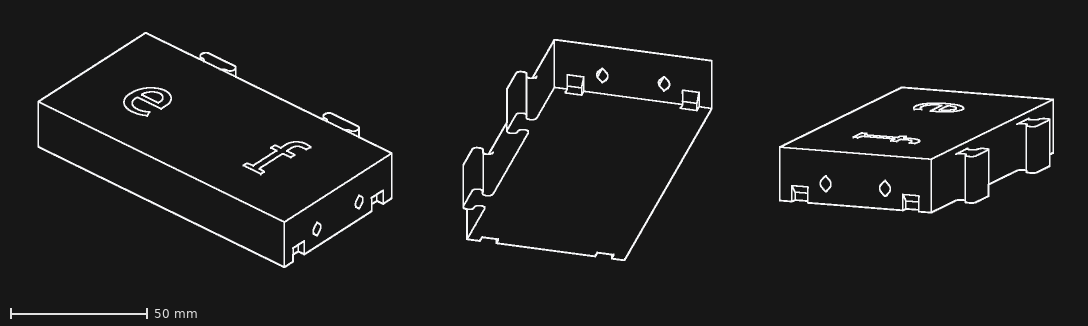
import cadquery as cq
import math

block_length = 120.0
block_width = block_length / 2
block_height = 20.0

field_centers = (-block_length / 4, block_length / 4)

tab_reach = 8.0
tab_height = 17.4
tab_head_half = 7.9
tab_neck_half = tab_head_half / 2
tab_neck_length = tab_reach / 2
tab_head_round = 1.7
tab_neck_hollow = 1.9

bore_diameter = 4.2
bore_offset = 11.8
bore_height = 7.7

slot_width = 6.2
slot_height = 6.0
slot_depth = slot_height / 2
slot_offset = 22.0

letter_depth = 1.2

e_bar_bottom = -3.8
e_bar_top = -1.5
e_right = 7.1
e_inner_left = -4.4
e_inner_right = 3.6
e_shoulder = (5.3, 3.8)
e_crown = (-0.2, 6.1)
e_upper_left = (-6.1, 2.6)
e_far_left = (-7.9, -3.1)
e_lower_left = (-5.9, -9.7)
e_base = (0.2, -12.2)
e_tail_curve = (3.6, -11.8)
e_tail_outer = (6.2, -10.5)
e_tail_inner = (5.2, -8.0)
e_tail_inner_curve = (3.4, -9.2)
e_bowl_floor = (0.7, -9.7)
e_bowl_left = (-3.1, -8.3)
e_eye_right = (2.8, 2.2)
e_eye_crown = (-0.2, 3.5)
e_eye_left = (-3.2, 1.8)

f_stem_left = -3.0
f_stem_right = 0.0
f_left = -5.8
f_bar_right = 3.8
f_bar_bottom = 3.5
f_bar_top = 5.8
f_foot_right = 2.8
f_foot_bottom = -11.9
f_foot_edge = -10.0
f_foot_top = -9.6
f_hook_inner_start = (f_stem_right, 8.2)
f_hook_inner_curve = (0.6, 10.2)
f_hook_inner_end = (2.2, 11.2)
f_hook_tip_lower = (4.7, 11.2)
f_hook_tip_upper = (4.9, 13.4)
f_hook_crown = (2.4, 13.8)
f_hook_outer_curve = (-1.7, 12.1)
f_hook_outer_start = (f_stem_left, 8.4)


def make_tab(center_x):
    """T-shaped tab with a rounded head and a hollowed neck, rooted on the +Y face."""
    head_length = tab_reach - tab_neck_length
    head = (
        cq.Workplane("XY")
        .center(center_x, block_width / 2 + tab_neck_length + head_length / 2)
        .rect(2 * tab_head_half, head_length)
        .extrude(tab_height)
        .edges("|Z")
        .fillet(tab_head_round)
    )
    return head.union(make_tab_neck(center_x))


def make_tab_neck(center_x):
    """Neck of a tab: its sides curve outward into the block and into the head."""
    flare = tab_neck_half + tab_neck_hollow
    hollow_end = tab_neck_length - tab_neck_hollow
    arc_gap = tab_neck_hollow * (1 - math.sqrt(0.5))
    bend = tab_neck_half + arc_gap
    return (
        cq.Workplane("XY")
        .center(center_x, block_width / 2)
        .moveTo(-flare, 0)
        .threePointArc((-bend, arc_gap), (-tab_neck_half, tab_neck_hollow))
        .lineTo(-tab_neck_half, hollow_end)
        .threePointArc((-bend, tab_neck_length - arc_gap), (-flare, tab_neck_length))
        .lineTo(flare, tab_neck_length)
        .threePointArc((bend, tab_neck_length - arc_gap), (tab_neck_half, hollow_end))
        .lineTo(tab_neck_half, tab_neck_hollow)
        .threePointArc((bend, arc_gap), (flare, 0))
        .close()
        .extrude(tab_height)
    )


def make_rod_hole(center_y):
    """Pointed bore through the full length; the point's sides are tangent to the round."""
    radius = bore_diameter / 2
    tip = radius * math.sqrt(2)
    tangent = radius / math.sqrt(2)
    return (
        cq.Workplane("YZ", origin=(-block_length / 2, center_y, bore_height))
        .moveTo(0, tip)
        .lineTo(tangent, tangent)
        .threePointArc((radius, 0), (tangent, -tangent))
        .lineTo(0, -tip)
        .lineTo(-tangent, -tangent)
        .threePointArc((-radius, 0), (-tangent, tangent))
        .close()
        .extrude(block_length)
    )


def make_slot_pair(center_y):
    """Clip slots at the -X and +X ends; each ceiling drops inward by the slot depth."""
    end_slot = (
        cq.Workplane("XZ", origin=(-block_length / 2, center_y, 0))
        .lineTo(0, slot_height)
        .lineTo(slot_depth, slot_height - slot_depth)
        .lineTo(slot_depth, 0)
        .close()
        .extrude(slot_width / 2, both=True)
    )
    return end_slot.union(end_slot.mirror("YZ"))


def letter_plane(center_x):
    """Plane of the letter floor, at the middle of a field."""
    return cq.Workplane("XY", origin=(center_x, 0, block_height - letter_depth))


def make_letter_e(center_x):
    """Flush "e" inlay with an open eye above its bar."""
    outline = (
        letter_plane(center_x)
        .moveTo(e_inner_left, e_bar_bottom)
        .lineTo(e_right, e_bar_bottom)
        .lineTo(e_right, e_bar_top)
        .threePointArc(e_shoulder, e_crown)
        .threePointArc(e_upper_left, e_far_left)
        .threePointArc(e_lower_left, e_base)
        .threePointArc(e_tail_curve, e_tail_outer)
        .lineTo(*e_tail_inner)
        .threePointArc(e_tail_inner_curve, e_bowl_floor)
        .threePointArc(e_bowl_left, (e_inner_left, e_bar_bottom))
        .close()
        .extrude(letter_depth)
    )
    eye = (
        letter_plane(center_x)
        .moveTo(e_inner_left, e_bar_top)
        .lineTo(e_inner_right, e_bar_top)
        .threePointArc(e_eye_right, e_eye_crown)
        .threePointArc(e_eye_left, (e_inner_left, e_bar_top))
        .close()
        .extrude(letter_depth)
    )
    return outline.cut(eye)


def make_letter_f(center_x):
    """Flush "f" inlay with a foot, a crossbar and a hook at the top."""
    return (
        letter_plane(center_x)
        .moveTo(f_left, f_foot_bottom)
        .lineTo(f_foot_right, f_foot_bottom)
        .lineTo(f_foot_right, f_foot_edge)
        .lineTo(f_stem_right, f_foot_top)
        .lineTo(f_stem_right, f_bar_bottom)
        .lineTo(f_bar_right, f_bar_bottom)
        .lineTo(f_bar_right, f_bar_top)
        .lineTo(f_stem_right, f_bar_top)
        .lineTo(*f_hook_inner_start)
        .threePointArc(f_hook_inner_curve, f_hook_inner_end)
        .lineTo(*f_hook_tip_lower)
        .lineTo(*f_hook_tip_upper)
        .lineTo(*f_hook_crown)
        .threePointArc(f_hook_outer_curve, f_hook_outer_start)
        .lineTo(f_stem_left, f_bar_top)
        .lineTo(f_left, f_bar_top)
        .lineTo(f_left, f_bar_bottom)
        .lineTo(f_stem_left, f_bar_bottom)
        .lineTo(f_stem_left, f_foot_top)
        .lineTo(f_left, f_foot_edge)
        .close()
        .extrude(letter_depth)
    )


def make_block(letters):
    """Block with tabs, rod holes, clip slots and a recess for each letter."""
    block = cq.Workplane("XY").box(block_length, block_width, block_height, centered=(True, True, False))
    for center_x in field_centers:
        block = block.union(make_tab(center_x))
    for side in (-1, 1):
        block = block.cut(make_rod_hole(side * bore_offset))
        block = block.cut(make_slot_pair(side * slot_offset))
    for letter in letters:
        block = block.cut(letter)
    return block.solids()


letter_e = make_letter_e(field_centers[0])
letter_f = make_letter_f(field_centers[1])
border_block = make_block([letter_e, letter_f])

result = cq.Compound.makeCompound([border_block.val(), letter_e.val(), letter_f.val()])